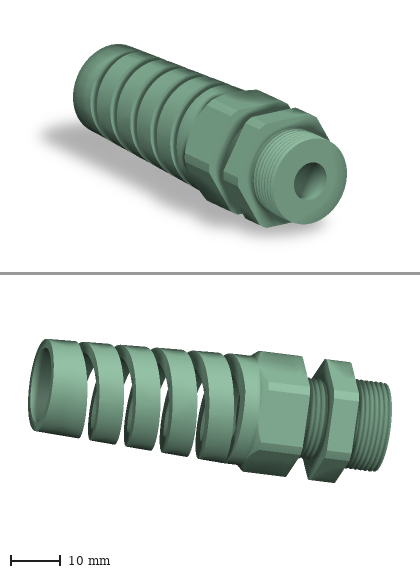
import cadquery as cq
import math


tail_end = 0.0
slot_start = 6.0
tail_root = 39.6
cap_hex_start = 42.8
cap_end = 52.8
nut_start = 57.8
nut_end = 63.0
thread_end = 70.9

across_flats = 22.1
across_corners = 24.5
corner_chamfer_length = 1.3

tail_tip_radius = 9.35
collar_radius = across_flats / 2
bore_tip_radius = 7.6
bore_root_radius = 7.15
slot_pitch = 7.6
slot_width = 2.5
slot_clearance = 1.05

cable_hole_radius = 4.0
rear_crest_radius = 8.2
rear_thread_pitch = 1.05
front_crest_radius = 9.1
front_thread_pitch = 1.0
thread_depth = 0.7
stem_radius = rear_crest_radius - thread_depth


def cylinder(radius, start, end):
    return cq.Workplane("YZ", origin=(start, 0, 0)).circle(radius).extrude(end - start)


def revolve_profile(points):
    """Turn a closed (x, radius) outline around the X axis."""
    return cq.Workplane("XZ").polyline(points).close().revolve(360, (0, 0), (1, 0))


def hexagon(start, end):
    """Hexagonal prism with flats facing up and down and turned-down corners."""
    sharp_corners = across_flats / math.cos(math.pi / 6)
    prism = cq.Workplane("YZ", origin=(start, 0, 0)).polygon(6, sharp_corners).extrude(end - start)
    return prism.intersect(cylinder(across_corners / 2, start, end))


def spiral_slot():
    """Helical band cutter, clipped flat at both ends of the slotted stretch."""
    inner = bore_root_radius - slot_clearance
    outer = collar_radius + slot_clearance
    helix_length = tail_root - slot_start + 2 * slot_pitch
    helix = cq.Wire.makeHelix(slot_pitch, helix_length, inner)
    band = (
        cq.Workplane("XZ")
        .center((inner + outer) / 2, 0)
        .rect(outer - inner, slot_width)
        .sweep(cq.Workplane(obj=helix), isFrenet=True)
    )
    band = band.rotate((0, 0, 0), (0, 1, 0), 90).translate((slot_start - slot_pitch / 2, 0, 0))
    return band.intersect(cylinder(2 * collar_radius, slot_start, tail_root))


def make_cap():
    tail = revolve_profile([
        (tail_end, 0),
        (tail_end, tail_tip_radius),
        (tail_root, collar_radius),
        (cap_hex_start, collar_radius),
        (cap_hex_start, 0),
    ])
    corner_cone = revolve_profile([
        (cap_hex_start, 0),
        (cap_hex_start, collar_radius),
        (cap_hex_start + corner_chamfer_length, across_corners / 2),
        (cap_end, across_corners / 2),
        (cap_end, 0),
    ])
    bore = revolve_profile([
        (tail_end, 0),
        (tail_end, bore_tip_radius),
        (slot_start, bore_tip_radius),
        (cap_hex_start, bore_root_radius),
        (cap_hex_start, 0),
    ])
    stem_socket = cylinder(stem_radius, cap_hex_start, cap_end)
    head = hexagon(cap_hex_start, cap_end).intersect(corner_cone)
    return tail.union(head).cut(bore).cut(stem_socket).cut(spiral_slot())


def thread_rings(crest_radius, pitch, start, end):
    """Cylinder with V-shaped ring grooves, with a crest at its start."""
    rod = cylinder(crest_radius, start, end)
    groove_count = math.ceil((end - start) / pitch)
    for i in range(groove_count):
        crest = start + i * pitch
        groove = revolve_profile([
            (crest, crest_radius),
            (crest + pitch / 2, crest_radius - thread_depth),
            (crest + pitch, crest_radius),
        ])
        rod = rod.cut(groove)
    return rod


def make_gland_body():
    stem = cylinder(stem_radius, cap_hex_start, cap_end)
    rear_thread = thread_rings(rear_crest_radius, rear_thread_pitch, cap_end, nut_start)
    nut = hexagon(nut_start, nut_end)
    front_thread = thread_rings(front_crest_radius, front_thread_pitch, nut_end, thread_end)
    cable_hole = cylinder(cable_hole_radius, cap_hex_start, thread_end)
    return stem.union(rear_thread).union(nut).union(front_thread).cut(cable_hole)


cap = make_cap()
gland_body = make_gland_body()

result = cq.Compound.makeCompound([cap.val(), gland_body.val()])